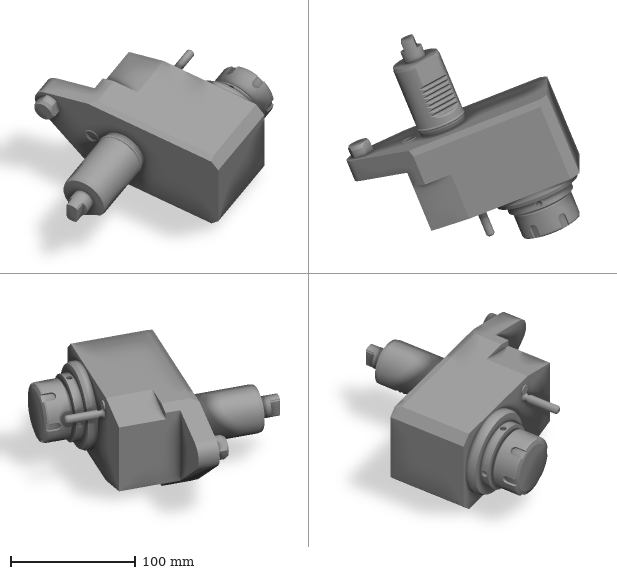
import cadquery as cq
import math


HALF_HEIGHT = 39.0
HOUSING_RIGHT = 90.0
HOUSING_LEFT = -38.5
HOUSING_DEPTH = 70.0
CORNER_CHAMFER = 8.0
FRONT_BEVEL_DROP = 1.5
BEVEL_ANGLE = 15.0
FRONT_BEVEL_LENGTH = FRONT_BEVEL_DROP / math.tan(math.radians(BEVEL_ANGLE))
STEP_Y = 30.5
REAR_SLOPE_X = -5.5
REAR_SLOPE_ANGLE = 15.0

LUG_X, LUG_Z, LUG_RADIUS = -71.0, 14.0, 13.0
LUG_THICKNESS = 18.0
LUG_UPPER_ANGLE = 15.0
LUG_LOWER_ANGLE = 40.0

SCREW_X, SCREW_Z = -70.0, 15.0
SCREW_RADIUS = 10.0
SCREW_ACROSS_FLATS = 17.0
SCREW_TURN = -13.0
SCREW_FLAT_SPREAD = 30.0
SCREW_HEAD_HEIGHT = 9.6
SCREW_BEVEL_DROP = 1.8
SCREW_BEVEL_LENGTH = 3.0

BUSH_X = -30.0
BUSH_RADIUS = 6.8
BUSH_BORE_RADIUS = 4.1
BUSH_INNER_RADIUS = 5.1
BUSH_HEIGHT = 0.5
BUSH_BORE_DEPTH = 1.0

SHANK_RADIUS = 20.0
SHANK_LENGTH = 60.2
SHANK_TIP_LENGTH = 3.1
SHANK_TIP_DROP = 0.8
NECK_RADIUS = 19.5
NECK_LENGTH = 2.1
COLLAR_BEVEL_END = 2.9
SEAL_GROOVE_START = 4.1
COLLAR_RADIUS = 19.8
SEAL_Y = 5.4
SEAL_SECTION_RADIUS = 1.2
SEAL_OUTER_RADIUS = 20.6
SEAL_GROOVE_END = 6.9

FLAT_DISTANCE = 16.9
FLAT_DIRECTION = -60.0
FLAT_START = 12.8
FLAT_RUNOUT_ANGLE = 30.0
TOOTH_PITCH = 4.0
TOOTH_COUNT = 7
FIRST_GROOVE = 15.5
GROOVE_WIDTH = 3.1
GROOVE_DEPTH = 2.5

TANG_RADIUS = 9.0
TANG_END = 78.3
TANG_ROUND_LENGTH = 9.3
TANG_WIDTH = 10.4
TANG_CHAMFER = 0.7
TANG_EDGE_CHAMFER = 0.8
TANG_ROOT_RADIUS = 0.8

SPINDLE_X = 50.0
FLANGE_RADIUS = 36.4
FLANGE_LENGTH = 8.0
FLANGE_BEVEL_LENGTH = 3.0
FLANGE_BEVEL_DROP = 1.4
RELIEF_RADIUS = 27.0
RELIEF_LENGTH = 0.8
RING_RADIUS = 28.0
RING_END = 15.9
RING_HOLE_RADIUS = 2.7
RING_HOLE_DEPTH = 3.0
RING_HOLE_COUNT = 4
RING_HOLE_Y = 12.2
DRILL_POINT_ANGLE = 118.0
NUT_NECK_RADIUS = 20.5
NUT_START = 18.0
NUT_RADIUS = 25.0
NUT_CHAMFER = 0.9
NUT_SHOULDER = 39.0
NUT_SHOULDER_BEVEL = 1.2
NUT_SHOULDER_DROP = 0.6
NUT_FACE_RADIUS = 20.5
NUT_END = 40.3
SLOT_COUNT = 6
SLOT_WIDTH = 7.0
SLOT_DEPTH = 2.5
SLOT_END = 27.7

PIN_Z = 21.4
PIN_RADIUS = 3.5
PIN_LENGTH = 33.0
PIN_CHAMFER = 1.3
PIN_NECK_RADIUS = 2.6
PIN_NECK_START = 2.4
PIN_NECK_END = 5.2
PIN_BASE_RADIUS = 4.2
PLUG_Z = 28.8
PLUG_RADIUS = 4.2
PLUG_HEIGHT = 1.2

EMBED = 2.0
CLEARANCE = 5.0


def extrude_along_y(outline, y_start, y_end):
    """Extrude a closed XZ outline from y_start to y_end."""
    return outline.extrude(-(y_end - y_start)).translate((0, y_start, 0))


def box_between(x_range, y_range, z_range):
    size = [high - low for low, high in (x_range, y_range, z_range)]
    corner = (x_range[0], y_range[0], z_range[0])
    return cq.Workplane("XY").box(*size, centered=False).translate(corner)


def turn_about_y(profile, x=0.0, z=0.0):
    """Turn a closed (radius, y) profile about an axis parallel to Y."""
    solid = cq.Workplane("XY").polyline(profile).close().revolve(360, (0, 0, 0), (0, 1, 0))
    return solid.translate((x, 0, z))


def lug_tangent_point(angle, side):
    """Point where a side sloping at the given angle meets the lug's round end."""
    a = math.radians(angle)
    return (LUG_X - LUG_RADIUS * math.sin(a), LUG_Z + side * LUG_RADIUS * math.cos(a))


def slope_start_x(tangent_point, angle, side):
    """X where a sloping lug side reaches the housing's top or bottom."""
    rise = side * HALF_HEIGHT - tangent_point[1]
    return tangent_point[0] + side * rise / math.tan(math.radians(angle))


def make_front_outline():
    upper = lug_tangent_point(LUG_UPPER_ANGLE, 1)
    lower = lug_tangent_point(LUG_LOWER_ANGLE, -1)
    return (
        cq.Workplane("XZ")
        .moveTo(slope_start_x(upper, LUG_UPPER_ANGLE, 1), HALF_HEIGHT)
        .lineTo(*upper)
        .threePointArc((LUG_X - LUG_RADIUS, LUG_Z), lower)
        .lineTo(slope_start_x(lower, LUG_LOWER_ANGLE, -1), -HALF_HEIGHT)
        .lineTo(HOUSING_RIGHT - CORNER_CHAMFER, -HALF_HEIGHT)
        .lineTo(HOUSING_RIGHT, -HALF_HEIGHT + CORNER_CHAMFER)
        .lineTo(HOUSING_RIGHT, HALF_HEIGHT - CORNER_CHAMFER)
        .lineTo(HOUSING_RIGHT - CORNER_CHAMFER, HALF_HEIGHT)
        .close()
    )


def make_rear_outline():
    slope_run = REAR_SLOPE_X - HOUSING_LEFT
    left_half_height = HALF_HEIGHT - slope_run * math.tan(math.radians(REAR_SLOPE_ANGLE))
    upper_half = [
        (HOUSING_LEFT, left_half_height),
        (REAR_SLOPE_X, HALF_HEIGHT),
        (HOUSING_RIGHT - CORNER_CHAMFER, HALF_HEIGHT),
        (HOUSING_RIGHT, HALF_HEIGHT - CORNER_CHAMFER),
    ]
    lower_half = [(x, -z) for x, z in reversed(upper_half)]
    return cq.Workplane("XZ").polyline(upper_half + lower_half).close()


def make_front_bevel_cutter():
    """Wedge that bevels the housing's upper front edge."""
    reach = 2.0
    wedge = (
        cq.Workplane("YZ")
        .moveTo(FRONT_BEVEL_LENGTH, HALF_HEIGHT)
        .lineTo(FRONT_BEVEL_LENGTH * (1 - reach), HALF_HEIGHT - FRONT_BEVEL_DROP * reach)
        .lineTo(FRONT_BEVEL_LENGTH * (1 - reach), HALF_HEIGHT + CLEARANCE)
        .lineTo(FRONT_BEVEL_LENGTH, HALF_HEIGHT + CLEARANCE)
        .close()
    )
    length = HOUSING_RIGHT - LUG_X
    return wedge.extrude(length).translate((LUG_X, 0, 0))


def make_housing():
    front = extrude_along_y(make_front_outline(), 0, STEP_Y)
    behind_lug = box_between(
        (LUG_X - LUG_RADIUS - CLEARANCE, HOUSING_LEFT),
        (LUG_THICKNESS, STEP_Y + CLEARANCE),
        (-HALF_HEIGHT - CLEARANCE, HALF_HEIGHT + CLEARANCE),
    )
    rear = extrude_along_y(make_rear_outline(), STEP_Y, HOUSING_DEPTH)
    bevel = make_front_bevel_cutter()
    return front.cut(behind_lug).union(rear).cut(bevel).cut(bevel.mirror("XY"))


def make_lug_screw():
    head = turn_about_y([
        (0, EMBED),
        (SCREW_RADIUS, EMBED),
        (SCREW_RADIUS, -SCREW_HEAD_HEIGHT + SCREW_BEVEL_LENGTH),
        (SCREW_RADIUS - SCREW_BEVEL_DROP, -SCREW_HEAD_HEIGHT),
        (0, -SCREW_HEAD_HEIGHT),
    ])
    beside_flat = box_between(
        (SCREW_ACROSS_FLATS / 2, SCREW_RADIUS + CLEARANCE),
        (-SCREW_HEAD_HEIGHT - CLEARANCE, EMBED + CLEARANCE),
        (-SCREW_RADIUS, SCREW_RADIUS),
    )
    for side in (0, 180):
        for spread in (-SCREW_FLAT_SPREAD, SCREW_FLAT_SPREAD):
            angle = side + SCREW_TURN + spread
            head = head.cut(beside_flat.rotate((0, 0, 0), (0, 1, 0), -angle))
    return head.translate((SCREW_X, 0, SCREW_Z))


def add_coolant_bush(body):
    bush = turn_about_y([
        (0, EMBED),
        (BUSH_RADIUS, EMBED),
        (BUSH_RADIUS, 0),
        (BUSH_RADIUS - BUSH_HEIGHT, -BUSH_HEIGHT),
        (0, -BUSH_HEIGHT),
    ], x=BUSH_X)
    bore = turn_about_y([
        (0, BUSH_BORE_DEPTH),
        (BUSH_BORE_RADIUS, BUSH_BORE_DEPTH),
        (BUSH_INNER_RADIUS, -BUSH_HEIGHT),
        (0, -BUSH_HEIGHT),
    ], x=BUSH_X)
    return body.union(bush).cut(bore)


def make_shank():
    shank = turn_about_y([
        (0, EMBED),
        (NECK_RADIUS, EMBED),
        (NECK_RADIUS, -NECK_LENGTH),
        (COLLAR_RADIUS, -COLLAR_BEVEL_END),
        (COLLAR_RADIUS, -SEAL_GROOVE_START),
        (NECK_RADIUS, -SEAL_GROOVE_START),
        (NECK_RADIUS, -SEAL_GROOVE_END),
        (SHANK_RADIUS, -SEAL_GROOVE_END),
        (SHANK_RADIUS, -SHANK_LENGTH + SHANK_TIP_LENGTH),
        (SHANK_RADIUS - SHANK_TIP_DROP, -SHANK_LENGTH),
        (0, -SHANK_LENGTH),
    ])
    seal_mean_radius = SEAL_OUTER_RADIUS - SEAL_SECTION_RADIUS
    seal = (
        cq.Workplane("XY")
        .moveTo(seal_mean_radius, -SEAL_Y)
        .circle(SEAL_SECTION_RADIUS)
        .revolve(360, (0, 0, 0), (0, 1, 0))
    )
    return shank.cut(make_toothed_flat_cutter()).union(seal)


def make_toothed_flat_cutter():
    """Cutter for the flat and its V-grooves, made facing +X and then turned."""
    outside = SHANK_RADIUS + CLEARANCE
    runout = (outside - FLAT_DISTANCE) * math.tan(math.radians(FLAT_RUNOUT_ANGLE))
    points = [(outside, -FLAT_START + runout), (FLAT_DISTANCE, -FLAT_START)]
    for i in range(TOOTH_COUNT):
        groove_y = -FIRST_GROOVE - i * TOOTH_PITCH
        points.append((FLAT_DISTANCE, groove_y + GROOVE_WIDTH / 2))
        points.append((FLAT_DISTANCE - GROOVE_DEPTH, groove_y))
        points.append((FLAT_DISTANCE, groove_y - GROOVE_WIDTH / 2))
    points.append((FLAT_DISTANCE, -SHANK_LENGTH - CLEARANCE))
    points.append((outside, -SHANK_LENGTH - CLEARANCE))
    cutter = cq.Workplane("XY").polyline(points).close().extrude(SHANK_RADIUS, both=True)
    return cutter.rotate((0, 0, 0), (0, 1, 0), -FLAT_DIRECTION)


def make_drive_tang():
    tang_start = SHANK_LENGTH + TANG_ROUND_LENGTH
    tang = turn_about_y([
        (0, -SHANK_LENGTH + EMBED),
        (TANG_RADIUS, -SHANK_LENGTH + EMBED),
        (TANG_RADIUS, -TANG_END),
        (0, -TANG_END),
    ])
    half_width = TANG_WIDTH / 2
    side = (
        cq.Workplane("XY")
        .moveTo(half_width, -tang_start - TANG_ROOT_RADIUS)
        .radiusArc((half_width + TANG_ROOT_RADIUS, -tang_start), TANG_ROOT_RADIUS)
        .lineTo(TANG_RADIUS + CLEARANCE, -tang_start)
        .lineTo(TANG_RADIUS + CLEARANCE, -TANG_END)
        .lineTo(half_width - TANG_CHAMFER, -TANG_END)
        .lineTo(half_width, -TANG_END + TANG_CHAMFER)
        .close()
        .extrude(TANG_RADIUS + CLEARANCE, both=True)
    )
    tang = tang.cut(side).cut(side.mirror("YZ"))
    return tang.cut(make_tang_edge_cutters())


def make_tang_edge_cutters():
    """Prisms that bevel the four long edges of the tang's flats at 45 degrees."""
    half_width = TANG_WIDTH / 2
    edge_z = math.sqrt(TANG_RADIUS ** 2 - half_width ** 2)
    start = -SHANK_LENGTH - TANG_ROUND_LENGTH - TANG_ROOT_RADIUS
    bevel = (
        cq.Workplane("XZ")
        .moveTo(half_width, edge_z - TANG_EDGE_CHAMFER)
        .lineTo(half_width - TANG_EDGE_CHAMFER, edge_z)
        .lineTo(half_width - TANG_EDGE_CHAMFER, edge_z + CLEARANCE)
        .lineTo(half_width + CLEARANCE, edge_z + CLEARANCE)
        .lineTo(half_width + CLEARANCE, edge_z - TANG_EDGE_CHAMFER)
        .close()
    )
    one_edge = extrude_along_y(bevel, -TANG_END - CLEARANCE, start)
    one_side = one_edge.union(one_edge.mirror("XY"))
    return one_side.union(one_side.mirror("YZ"))


def make_spindle_nose():
    """Bearing flange, ring and clamping nut; lengths count from the rear face."""
    profile = [
        (0, -EMBED),
        (FLANGE_RADIUS, -EMBED),
        (FLANGE_RADIUS, FLANGE_LENGTH - FLANGE_BEVEL_LENGTH),
        (FLANGE_RADIUS - FLANGE_BEVEL_DROP, FLANGE_LENGTH),
        (RELIEF_RADIUS, FLANGE_LENGTH),
        (RELIEF_RADIUS, FLANGE_LENGTH + RELIEF_LENGTH),
        (RING_RADIUS, FLANGE_LENGTH + RELIEF_LENGTH),
        (RING_RADIUS, RING_END),
        (NUT_NECK_RADIUS, RING_END),
        (NUT_NECK_RADIUS, NUT_START),
        (NUT_RADIUS - NUT_CHAMFER, NUT_START),
        (NUT_RADIUS, NUT_START + NUT_CHAMFER),
        (NUT_RADIUS, NUT_SHOULDER - NUT_SHOULDER_BEVEL),
        (NUT_RADIUS - NUT_SHOULDER_DROP, NUT_SHOULDER),
        (NUT_FACE_RADIUS, NUT_END),
        (0, NUT_END),
    ]
    nose = turn_about_y(profile)
    for i in range(RING_HOLE_COUNT):
        nose = nose.cut(place_around_spindle(make_ring_hole(), i * 360 / RING_HOLE_COUNT))
    for i in range(SLOT_COUNT):
        nose = nose.cut(place_around_spindle(make_nut_slot(), (i + 0.5) * 360 / SLOT_COUNT))
    return nose.translate((SPINDLE_X, HOUSING_DEPTH, 0))


def place_around_spindle(cutter, angle):
    """Turn a cutter, made at the top of the spindle, about the spindle axis."""
    return cutter.rotate((0, 0, 0), (0, 1, 0), angle)


def make_ring_hole():
    """Radial blind hole with a drill-point bottom."""
    floor = RING_RADIUS - RING_HOLE_DEPTH
    point = RING_HOLE_RADIUS / math.tan(math.radians(DRILL_POINT_ANGLE / 2))
    drill = (
        cq.Workplane("XZ")
        .polyline([
            (0, floor - point),
            (RING_HOLE_RADIUS, floor),
            (RING_HOLE_RADIUS, RING_RADIUS + CLEARANCE),
            (0, RING_RADIUS + CLEARANCE),
        ])
        .close()
        .revolve(360, (0, 0, 0), (0, 1, 0))
    )
    return drill.translate((0, RING_HOLE_Y, 0))


def make_nut_slot():
    """Spanner slot, open at the nut's face and round at its inner end."""
    half_width = SLOT_WIDTH / 2
    return (
        cq.Workplane("XY")
        .workplane(offset=NUT_RADIUS - SLOT_DEPTH)
        .moveTo(-half_width, NUT_END + CLEARANCE)
        .lineTo(-half_width, SLOT_END + half_width)
        .threePointArc((0, SLOT_END), (half_width, SLOT_END + half_width))
        .lineTo(half_width, NUT_END + CLEARANCE)
        .close()
        .extrude(SLOT_DEPTH + CLEARANCE)
    )


def make_rear_pin():
    pin = turn_about_y([
        (0, -EMBED),
        (PIN_BASE_RADIUS, -EMBED),
        (PIN_BASE_RADIUS, 0),
        (PIN_NECK_RADIUS, PIN_NECK_START),
        (PIN_NECK_RADIUS, PIN_NECK_END),
        (PIN_RADIUS, PIN_NECK_END),
        (PIN_RADIUS, PIN_LENGTH - PIN_CHAMFER),
        (PIN_RADIUS - PIN_CHAMFER, PIN_LENGTH),
        (0, PIN_LENGTH),
    ], z=PIN_Z)
    return pin.translate((0, HOUSING_DEPTH, 0))


def make_rear_plug():
    plug = turn_about_y([
        (0, -EMBED),
        (PLUG_RADIUS, -EMBED),
        (PLUG_RADIUS, PLUG_HEIGHT),
        (0, PLUG_HEIGHT),
    ], z=PLUG_Z)
    return plug.translate((0, HOUSING_DEPTH, 0))


result = make_housing()
result = result.union(make_lug_screw())
result = add_coolant_bush(result)
result = result.union(make_shank())
result = result.union(make_drive_tang())
result = result.union(make_spindle_nose())
result = result.union(make_rear_pin())
result = result.union(make_rear_plug())